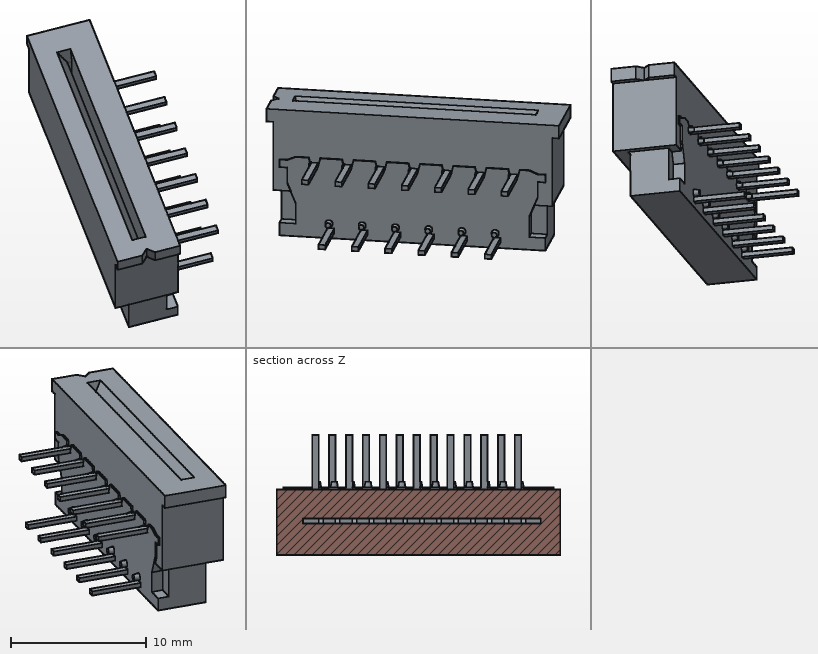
import cadquery as cq


total_height = 9.8
housing_depth = 4.88
housing_width = 21.0
housing_bottom = 3.47
flange_width = 22.0
flange_height = 1.0

key_depth = 0.5
key_y = 2.42

slot_left = -8.86
slot_right = 9.42
slot_front = 1.65
slot_back = 2.7
slot_floor = 4.0
taper_height = 1.1
taper_front = 0.7
taper_left = 0.32
taper_right = 0.37

block_width = 20.0
block_front = 1.2
block_back = 5.02
front_chamfer = 0.18
recess_depth = 0.87

outer_x = block_width / 2
arm_x = 9.42
inner_x = 8.78
ledge_z = 1.0
recess_slope_bottom = 2.6
recess_slope_top = 4.13
ear_bottom = 5.34
ear_top = 5.93
plate_top = 6.2

pin_count = 13
pitch = 1.25
first_pin_x = -7.63
pin_width = 0.5
pin_thickness = 0.35
pin_tip_y = 8.9
pin_root_y = 4.0
upper_pin_bottom = 5.45
lower_pin_bottom = 0.45
post_offset_x = 0.15
post_base_diameter = 0.56
post_tip_diameter = 0.4
post_length = 0.42
upper_post_z = 5.63
lower_post_z = 1.14
relief_top_half_width = 0.43
contact_offset_x = 0.4
contact_width = 0.33
contact_height = 0.35


def box(x0, x1, y0, y1, z0, z1):
    """Box between two opposite corners."""
    return cq.Workplane("XY").box(x1 - x0, y1 - y0, z1 - z0, centered=False).translate((x0, y0, z0))


def centred_box(width, y0, y1, z0, z1):
    """Box with its width centred on X = 0."""
    return box(-width / 2, width / 2, y0, y1, z0, z1)


def prism_along_y(points, y0, y1):
    """Prism of an XZ outline between two Y positions."""
    return cq.Workplane("XZ", origin=(0, y0, 0)).polyline(points).close().extrude(y0 - y1)


def prism_along_x(points, x0, x1):
    """Prism of a YZ outline between two X positions."""
    return cq.Workplane("YZ", origin=(x0, 0, 0)).polyline(points).close().extrude(x1 - x0)


def make_housing():
    """Housing shell with the wider flange on top and its V-shaped key notch."""
    flange_bottom = total_height - flange_height
    body = centred_box(housing_width, 0, housing_depth, housing_bottom, total_height)
    flange = centred_box(flange_width, 0, housing_depth, flange_bottom, total_height)
    end_x = flange_width / 2
    key = (
        cq.Workplane("XY", origin=(0, 0, flange_bottom))
        .polyline([(end_x, key_y - key_depth), (end_x - key_depth, key_y), (end_x, key_y + key_depth)])
        .close()
        .extrude(flange_height)
    )
    return body.union(flange).cut(key)


def make_slot():
    """Cable slot: a mouth tapered on the front and both ends above a straight well."""
    well_left = slot_left + taper_left
    well_right = slot_right - taper_right
    well_front = slot_front + taper_front
    taper_bottom = total_height - taper_height
    mouth_in_xz = prism_along_y(
        [
            (slot_left, total_height),
            (slot_right, total_height),
            (well_right, taper_bottom),
            (well_left, taper_bottom),
        ],
        slot_front,
        slot_back,
    )
    mouth_in_yz = prism_along_x(
        [
            (slot_front, total_height),
            (slot_back, total_height),
            (slot_back, taper_bottom),
            (well_front, taper_bottom),
        ],
        slot_left,
        slot_right,
    )
    well = box(well_left, well_right, well_front, slot_back, slot_floor, taper_bottom)
    return mouth_in_xz.intersect(mouth_in_yz).union(well)


def make_contact(x):
    """Contact ramp that stands on the slot floor and rises towards the front wall."""
    ramp = [
        (slot_front + taper_front, slot_floor),
        (slot_back, slot_floor),
        (slot_front + taper_front, slot_floor + contact_height),
    ]
    return prism_along_x(ramp, x - contact_width / 2, x + contact_width / 2)


def make_block():
    """Lower block with recessed rear corners, and the plate on the back of the housing."""
    right_side = [
        (outer_x, 0),
        (outer_x, ledge_z),
        (inner_x, ledge_z),
        (inner_x, recess_slope_bottom),
        (arm_x, recess_slope_top),
        (arm_x, ear_bottom),
        (outer_x, ear_bottom),
        (outer_x, ear_top),
        (arm_x, ear_top),
        (inner_x, plate_top),
    ]
    left_side = [(-x, z) for x, z in reversed(right_side)]
    rear = prism_along_y(right_side + left_side, block_back - recess_depth, block_back)
    core = centred_box(block_width, block_front, block_back - recess_depth, 0, housing_bottom)
    chamfer = prism_along_x(
        [
            (block_front, housing_bottom),
            (block_front - front_chamfer, housing_bottom),
            (block_front, housing_bottom - front_chamfer),
        ],
        -block_width / 2,
        block_width / 2,
    )
    return core.union(chamfer).union(rear)


def make_pin_relief(x):
    """Trapezoidal notch from the top edge of the plate down to the underside of an upper pin."""
    outline = [
        (x - relief_top_half_width, plate_top),
        (x + relief_top_half_width, plate_top),
        (x + pin_width / 2, upper_pin_bottom),
        (x - pin_width / 2, upper_pin_bottom),
    ]
    return prism_along_y(outline, housing_depth, block_back)


def make_pin(x, bottom):
    """Flat pin that leaves the back of the plate along +Y."""
    return box(x - pin_width / 2, x + pin_width / 2, pin_root_y, pin_tip_y, bottom, bottom + pin_thickness)


def make_post(x, z):
    """Small tapered post on the back of the plate."""
    cone = cq.Solid.makeCone(
        post_base_diameter / 2,
        post_tip_diameter / 2,
        post_length,
        cq.Vector(x, block_back, z),
        cq.Vector(0, 1, 0),
    )
    return cq.Workplane(obj=cone)


def make_upper_post(x):
    """Post beside an upper pin, trimmed flush with the pin's +X side."""
    post_x = x + post_offset_x
    kept_x = x + pin_width / 2
    half_size = post_base_diameter / 2
    kept_side = box(
        kept_x,
        post_x + half_size,
        block_back,
        block_back + post_length,
        upper_post_z - half_size,
        upper_post_z + half_size,
    )
    return make_post(post_x, upper_post_z).intersect(kept_side)


pin_positions = [first_pin_x + i * pitch for i in range(pin_count)]
upper_positions = pin_positions[0::2]
lower_positions = pin_positions[1::2]

result = make_housing().union(make_block()).cut(make_slot())

for pin_x in pin_positions:
    result = result.union(make_contact(pin_x + contact_offset_x))

for pin_x in upper_positions:
    result = result.cut(make_pin_relief(pin_x))
    result = result.union(make_pin(pin_x, upper_pin_bottom))
    result = result.union(make_upper_post(pin_x))

for pin_x in lower_positions:
    result = result.union(make_pin(pin_x, lower_pin_bottom))
    result = result.union(make_post(pin_x + post_offset_x, lower_post_z))